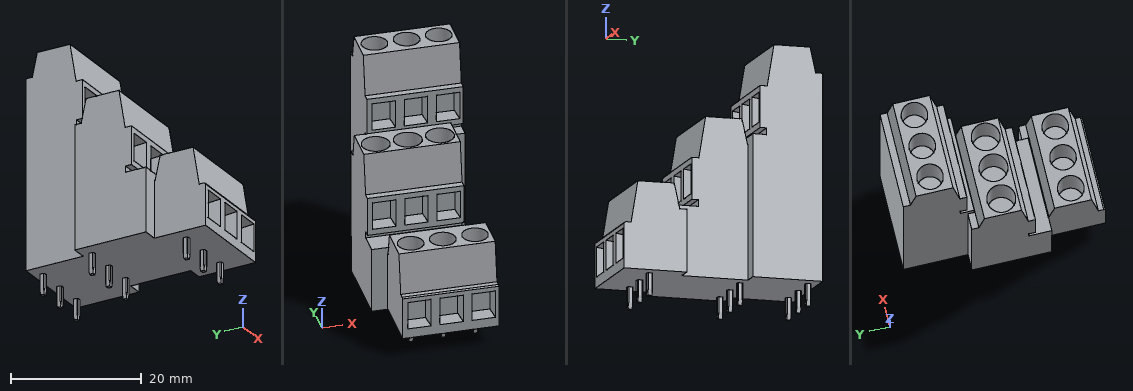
import cadquery as cq

TOTAL_WIDTH = 17.75
TOTAL_HEIGHT = 40.1
TOTAL_DEPTH = 31.8
POLES = 3

PITCH = TOTAL_WIDTH / (POLES + 0.5)
HALF_PITCH = PITCH / 2
TIER_WIDTH = POLES * PITCH

PIN_LENGTH = 3.5
PIN_TIP_LENGTH = 1.0
PIN_WIDTH = 0.9
PIN_CORNER = 0.15
PIN_TIP_WIDTH = 0.6
PIN_SETBACK = 1.6

SHELF_DROP = 3.95
LEDGE_DROP = 6.58
FACE_DROP = 13.15
FOOT_DROP = 14.2
CROWN_FOOT_BACK = 1.12
CROWN_TOP_BACK = 2.0
CROWN_TOP_FRONT = 7.8
CROWN_FOOT_FRONT = 8.9
GROOVE_FLOOR = 9.0
FACE = 10.02

MIDDLE_PITCHES = 2
FRONT_PITCHES = 5
TIER_STEP = 11.4
REAR_TOP = TOTAL_HEIGHT - PIN_LENGTH
MIDDLE_TOP = REAR_TOP - TIER_STEP
FRONT_TOP = MIDDLE_TOP - TIER_STEP
REAR_BACK = TOTAL_DEPTH
MIDDLE_BACK = REAR_BACK - MIDDLE_PITCHES * PITCH
FRONT_BACK = FACE
REAR_FOOT = 11.2
MIDDLE_FOOT = 12.6
REAR_PIN_Y = REAR_BACK - PIN_SETBACK
MIDDLE_PIN_Y = MIDDLE_BACK - PIN_SETBACK
FRONT_PIN_Y = REAR_PIN_Y - FRONT_PITCHES * PITCH

BEVEL_DEPTH = 0.3
BEVEL_HEIGHT = 0.15

SCREW_DIAMETER = 4.05
MIDDLE_SCREW_DIAMETER = 4.4
SCREW_DEPTH = LEDGE_DROP
REAR_SCREW = 4.8
MIDDLE_SCREW = 5.25
FRONT_SCREW = 5.17

POCKET_WIDTH = 3.7
POCKET_HEIGHT = 4.7
POCKET_DEPTH = 2.05
POCKET_INSET = 0.35
POCKET_TOP_DROP = 7.5
POCKET_SHIFT = 0.14


def pole_places(left):
    """X of each pole centre in a tier that starts at left."""
    return [left + HALF_PITCH + PITCH * i for i in range(POLES)]


def extrude_profile(points, left):
    """Prism of one tier from its (y, z) outline."""
    return cq.Workplane("YZ", origin=(left, 0, 0)).polyline(points).close().extrude(TIER_WIDTH)


def crown_points(back, top):
    """Back face, shelf and crown of a tier, ending at the front foot of the crown."""
    return [
        (back, 0),
        (back, top - SHELF_DROP),
        (back - CROWN_FOOT_BACK, top - SHELF_DROP),
        (back - CROWN_TOP_BACK, top),
        (back - CROWN_TOP_FRONT, top),
        (back - CROWN_FOOT_FRONT, top - LEDGE_DROP),
    ]


def raised_tier(left, back, top, foot):
    """Tier with a groove under its wire face and a foot reaching forward below it."""
    front = [
        (back - FACE, top - LEDGE_DROP),
        (back - FACE, top - FACE_DROP),
        (back - GROOVE_FLOOR, top - FACE_DROP),
        (back - GROOVE_FLOOR, top - FOOT_DROP),
        (back - foot, top - FOOT_DROP),
        (back - foot, 0),
    ]
    return extrude_profile(crown_points(back, top) + front, left)


def low_tier(left, back, top):
    """Front tier, with a plain wire face down to the bottom and a bevelled upper edge."""
    ledge = top - LEDGE_DROP
    front = [
        (back - FACE + BEVEL_DEPTH, ledge),
        (back - FACE, ledge - BEVEL_HEIGHT),
        (back - FACE, 0),
    ]
    return extrude_profile(crown_points(back, top) + front, left)


def screw_hole(x, y, top, diameter):
    return cq.Workplane("XY", origin=(x, y, top - SCREW_DEPTH)).circle(diameter / 2).extrude(SCREW_DEPTH)


def wire_pocket(x, face_y, top):
    """Rectangular pocket cut into the wire face, smaller at its floor."""
    middle_z = top - POCKET_TOP_DROP - POCKET_HEIGHT / 2
    return (
        cq.Workplane("XZ", origin=(x + POCKET_SHIFT, face_y, middle_z))
        .rect(POCKET_WIDTH, POCKET_HEIGHT)
        .workplane(offset=-POCKET_DEPTH)
        .rect(POCKET_WIDTH - 2 * POCKET_INSET, POCKET_HEIGHT - 2 * POCKET_INSET)
        .loft(ruled=True)
    )


def cut_poles(body, left, back, top, screw_setback, screw_diameter):
    """Cut the screw hole and the wire pocket of every pole of one tier."""
    for x in pole_places(left):
        body = body.cut(screw_hole(x, back - screw_setback, top, screw_diameter))
        body = body.cut(wire_pocket(x, back - FACE, top))
    return body


def build_housing():
    """Three stepped tiers in one piece."""
    body = raised_tier(HALF_PITCH, REAR_BACK, REAR_TOP, REAR_FOOT)
    body = body.union(raised_tier(0, MIDDLE_BACK, MIDDLE_TOP, MIDDLE_FOOT))
    body = body.union(low_tier(HALF_PITCH, FRONT_BACK, FRONT_TOP))
    body = cut_poles(body, HALF_PITCH, REAR_BACK, REAR_TOP, REAR_SCREW, SCREW_DIAMETER)
    body = cut_poles(body, 0, MIDDLE_BACK, MIDDLE_TOP, MIDDLE_SCREW, MIDDLE_SCREW_DIAMETER)
    return cut_poles(body, HALF_PITCH, FRONT_BACK, FRONT_TOP, FRONT_SCREW, SCREW_DIAMETER)


def build_pin(x, y):
    """Square solder pin with cut corners and a tapered tip, hanging from the bottom of the housing."""
    shank_length = PIN_LENGTH - PIN_TIP_LENGTH
    rod = (
        cq.Workplane("XY", origin=(x, y, 0))
        .rect(PIN_WIDTH, PIN_WIDTH)
        .extrude(-PIN_LENGTH)
        .edges("|Z")
        .chamfer(PIN_CORNER)
    )
    shank = cq.Workplane("XY", origin=(x, y, 0)).rect(PIN_WIDTH, PIN_WIDTH).extrude(-shank_length)
    tip = (
        cq.Workplane("XY", origin=(x, y, -shank_length))
        .rect(PIN_WIDTH, PIN_WIDTH)
        .workplane(offset=-PIN_TIP_LENGTH)
        .rect(PIN_TIP_WIDTH, PIN_TIP_WIDTH)
        .loft(ruled=True)
    )
    return rod.intersect(shank.union(tip))


housing = build_housing()

pins = []
pin_rows = [
    (HALF_PITCH, REAR_PIN_Y),
    (0, MIDDLE_PIN_Y),
    (HALF_PITCH, FRONT_PIN_Y),
]
for left, row_y in pin_rows:
    for x in pole_places(left):
        pins.append(build_pin(x, row_y).val())

result = cq.Compound.makeCompound([housing.val(), *pins])